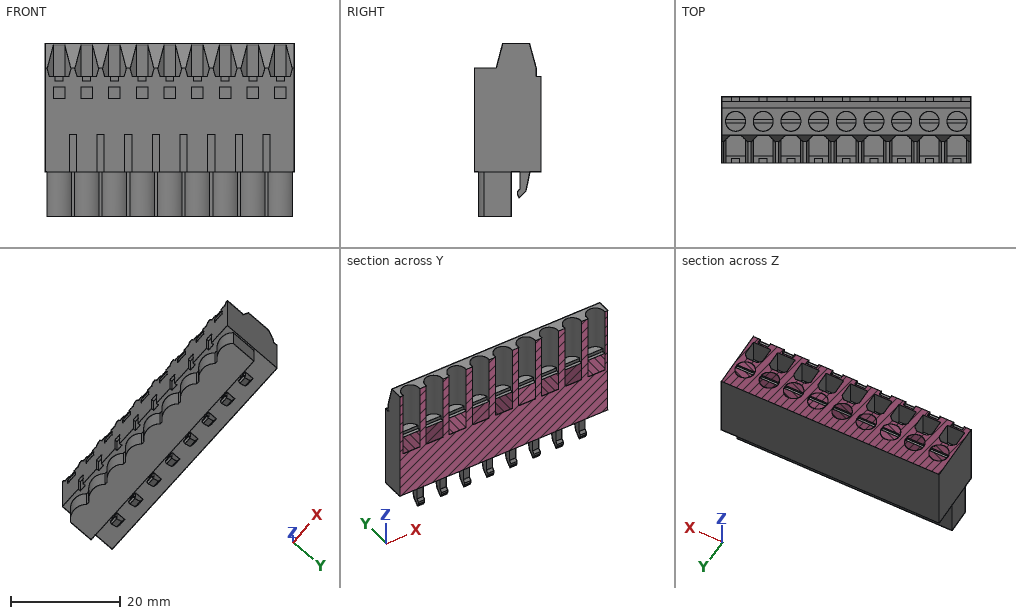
import cadquery as cq


POLE_COUNT = 9
LENGTH = 45.7
PITCH = LENGTH / POLE_COUNT
pole_positions = [(i - (POLE_COUNT - 1) / 2) * PITCH for i in range(POLE_COUNT)]
gap_positions = [x + PITCH / 2 for x in pole_positions[:-1]]

DEPTH = 12.2
TOTAL_HEIGHT = 31.8
PLUG_HEIGHT = 8.25
TOP_Z = TOTAL_HEIGHT - PLUG_HEIGHT
SHELF_Z = 19.05
LIP_Z = 17.5
SHELF_DEPTH = 4.0
TOP_FRONT_Y = 5.15
TOP_BACK_Y = 10.1
LEDGE_DEPTH = 0.85

PLUG_FRONT_Y = 0.7
PLUG_BACK_Y = 6.75
CROWN_RISE = 1.05
CROWN_HALF_WIDTH = 2.25

LATCH_WIDTH = 1.35
LATCH_FRONT_Y = 8.3
LATCH_ROOT_THICKNESS = 1.87
LATCH_NECK_THICKNESS = 1.15
LATCH_NECK_Z = -3.5
HOOK_START_Z = -3.15
HOOK_REACH = 0.45
HOOK_TOP_Z = -3.65
HOOK_BOTTOM_Z = -4.1
HOOK_TIP_Y = 8.2
HOOK_TIP_Z = -4.8

ENTRY_HALF_WIDTH = 1.8
MOUTH_HALF_WIDTH = 2.25
BACK_HALF_WIDTH = 1.05
ENTRY_FRONT_Y = 1.3
ENTRY_BACK_Y = 5.07
ENTRY_FLOOR_Z = 9.15

NOTCH_WIDTH = 1.45
NOTCH_HEIGHT = 0.85
WINDOW_SIZE = 2.1
WINDOW_TOP_Z = 15.6
RECESS_DEPTH = 0.85
SLOT_WIDTH = 1.33
SLOT_HEIGHT = 6.8
SLOT_DEPTH = 0.5

SCREW_DIAMETER = 3.65
SCREW_Y = 7.7
SCREW_LENGTH = 4.55
HOLE_DEPTH = 13.7
HOLE_FLOOR_Z = TOP_Z - HOLE_DEPTH
SCREW_SLOT_WIDTH = 0.6
SCREW_SLOT_DEPTH = 0.7


def box(width, y_min, y_max, z_min, z_max, x=0.0):
    """A box centred on x, between the given Y and Z limits."""
    size = (width, y_max - y_min, z_max - z_min)
    return cq.Workplane("XY").box(*size, centered=(True, False, False)).translate((x, y_min, z_min))


def prism_along_x(profile, width):
    """A (Y, Z) outline extruded along X, centred on X = 0."""
    return cq.Workplane("YZ").polyline(profile).close().extrude(width / 2, both=True)


def make_block():
    profile = [
        (0, 0),
        (0, SHELF_Z),
        (SHELF_DEPTH, SHELF_Z),
        (TOP_FRONT_Y, TOP_Z),
        (TOP_BACK_Y, TOP_Z),
        (DEPTH - LEDGE_DEPTH, SHELF_Z),
        (DEPTH - LEDGE_DEPTH, LIP_Z),
        (DEPTH, LIP_Z),
        (DEPTH, 0),
    ]
    return prism_along_x(profile, LENGTH)


def make_plug():
    """A bar below the block whose front is a row of rounded crowns with narrow flats between."""
    half_length = pole_positions[-1] + CROWN_HALF_WIDTH
    flat_y = PLUG_FRONT_Y + CROWN_RISE
    outline = cq.Workplane("XY").moveTo(-half_length, PLUG_BACK_Y)
    for x in pole_positions:
        outline = outline.lineTo(x - CROWN_HALF_WIDTH, flat_y)
        outline = outline.threePointArc((x, PLUG_FRONT_Y), (x + CROWN_HALF_WIDTH, flat_y))
    outline = outline.lineTo(half_length, PLUG_BACK_Y).close()
    return outline.extrude(-PLUG_HEIGHT)


def make_latch():
    """A tapered finger with a hooked tip, hanging below the block behind the plug."""
    profile = [
        (LATCH_FRONT_Y, 0),
        (LATCH_FRONT_Y, HOOK_START_Z),
        (LATCH_FRONT_Y - HOOK_REACH, HOOK_TOP_Z),
        (LATCH_FRONT_Y - HOOK_REACH, HOOK_BOTTOM_Z),
        (HOOK_TIP_Y, HOOK_TIP_Z),
        (LATCH_FRONT_Y + LATCH_NECK_THICKNESS, LATCH_NECK_Z),
        (LATCH_FRONT_Y + LATCH_ROOT_THICKNESS, 0),
    ]
    return prism_along_x(profile, LATCH_WIDTH)


def make_wire_entry():
    """Cutter for a funnel: a deep well, and a wider mouth open to the front above the lip."""
    def tapered_plan(half_width, front_y):
        corner_y = ENTRY_BACK_Y - (half_width - BACK_HALF_WIDTH)
        return cq.Workplane("XY").polyline([
            (-half_width, front_y),
            (half_width, front_y),
            (half_width, corner_y),
            (BACK_HALF_WIDTH, ENTRY_BACK_Y),
            (-BACK_HALF_WIDTH, ENTRY_BACK_Y),
            (-half_width, corner_y),
        ]).close()

    well = tapered_plan(ENTRY_HALF_WIDTH, ENTRY_FRONT_Y).extrude(TOP_Z - ENTRY_FLOOR_Z)
    well = well.translate((0, 0, ENTRY_FLOOR_Z))
    mouth_plan = tapered_plan(MOUTH_HALF_WIDTH, 0).extrude(TOP_Z)
    mouth_front = cq.Workplane("XZ").polyline([
        (-ENTRY_HALF_WIDTH, LIP_Z),
        (ENTRY_HALF_WIDTH, LIP_Z),
        (MOUTH_HALF_WIDTH, SHELF_Z),
        (MOUTH_HALF_WIDTH, TOP_Z),
        (-MOUTH_HALF_WIDTH, TOP_Z),
        (-MOUTH_HALF_WIDTH, SHELF_Z),
    ]).close().extrude(-DEPTH)
    return well.union(mouth_plan.intersect(mouth_front))


def make_screw_cylinder(height):
    """A cylinder of the screw's diameter, standing on the floor of a screw hole at X = 0."""
    cylinder = cq.Workplane("XY").circle(SCREW_DIAMETER / 2).extrude(height)
    return cylinder.translate((0, SCREW_Y, HOLE_FLOOR_Z))


def make_housing():
    housing = make_block().union(make_plug())
    latch = make_latch()
    wire_entry = make_wire_entry()
    screw_hole = make_screw_cylinder(HOLE_DEPTH)
    lip_notch = box(NOTCH_WIDTH, 0, RECESS_DEPTH, LIP_Z - NOTCH_HEIGHT, LIP_Z)
    ledge_notch = box(NOTCH_WIDTH, DEPTH - LEDGE_DEPTH, DEPTH, LIP_Z - NOTCH_HEIGHT, LIP_Z)
    window = box(WINDOW_SIZE, 0, RECESS_DEPTH, WINDOW_TOP_Z - WINDOW_SIZE, WINDOW_TOP_Z)
    for x in pole_positions:
        for cutter in (wire_entry, screw_hole, lip_notch, ledge_notch, window):
            housing = housing.cut(cutter.translate((x, 0, 0)))
    for x in gap_positions:
        housing = housing.union(latch.translate((x, 0, 0)))
        housing = housing.cut(box(SLOT_WIDTH, 0, SLOT_DEPTH, 0, SLOT_HEIGHT, x))
    return housing


def make_screw(x):
    """A screw filling the lower part of its hole, with a driver slot across its top."""
    screw_top_z = HOLE_FLOOR_Z + SCREW_LENGTH
    driver_slot = box(
        SCREW_DIAMETER,
        SCREW_Y - SCREW_SLOT_WIDTH / 2,
        SCREW_Y + SCREW_SLOT_WIDTH / 2,
        screw_top_z - SCREW_SLOT_DEPTH,
        screw_top_z,
    )
    return make_screw_cylinder(SCREW_LENGTH).cut(driver_slot).translate((x, 0, 0))


housing = make_housing()
screws = [make_screw(x) for x in pole_positions]

result = cq.Compound.makeCompound([housing.solids().val(), *[screw.val() for screw in screws]])